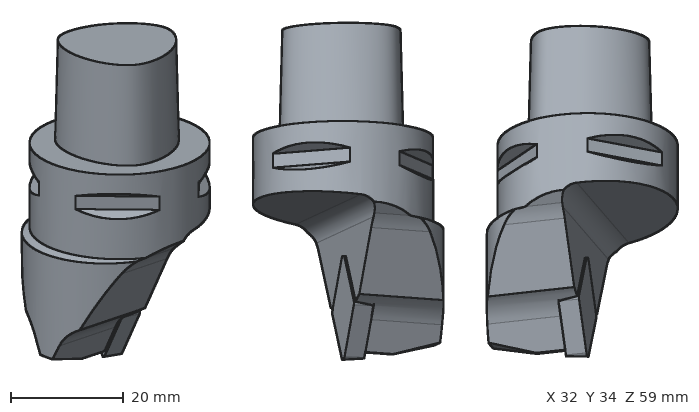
import cadquery as cq
import math


shank_length = 18.9
shank_mean_radius = 11.0
shank_top_mean_radius = 10.52
shank_lobe_height = 0.7
shank_curve_points = 72

flange_radius = 16.0
flange_edge_height = 16.05
slot_count = 4
slot_first_angle = 45
slot_center_z = -6.05
slot_floor_width = 2.5
slot_mouth_width = 4.8
slot_floor_distance = 14.15

head_radius = 15.7
head_offset = 2.3
head_tip_z = -38.45
shoulder_slope = math.radians(13)

seat_face_y = -0.35
relief_edge_z = -12.0
relief_slope = math.radians(5)
relief_corner_radius = 3.5

flank_angle = math.radians(27.5)
flank_chamfer_top_z = -14.35
flank_chamfer_end_z = -flange_edge_height
flank_top_z = -18.4
flank_top_half_width = 12.65
flank_end_z = -29.4
nose_top_z = -33.1
nose_tip_half_width = 0.3

facet_start_y = -9.5
facet_end_z = -36.0

insert_inscribed_radius = 9.525 / 2
insert_thickness = 3.97
insert_half_angle = flank_angle
insert_corner_radius = 0.8
insert_clearance = 7
insert_tip_z = -40.1

overcut = 5.0


def polygon_point(angle, mean_radius):
    """Point of a constant-width three-lobed curve with one lobe toward +Y."""
    phase = 3 * (angle - math.pi / 2)
    reach = mean_radius + shank_lobe_height * math.cos(phase)
    slide = -3 * shank_lobe_height * math.sin(phase)
    x = reach * math.cos(angle) - slide * math.sin(angle)
    y = reach * math.sin(angle) + slide * math.cos(angle)
    return x, y


def polygon_wire(mean_radius, z):
    points = []
    for i in range(shank_curve_points):
        x, y = polygon_point(2 * math.pi * i / shank_curve_points, mean_radius)
        points.append(cq.Vector(x, y, z))
    return cq.Wire.assembleEdges([cq.Edge.makeSpline(points, periodic=True)])


def make_shank():
    base = polygon_wire(shank_mean_radius, 0)
    top = polygon_wire(shank_top_mean_radius, shank_length)
    return cq.Workplane(obj=cq.Solid.makeLoft([base, top]))


def make_gripper_slot(angle):
    """Flared slot cutter whose flat floor faces outward at the given angle."""
    depth = flange_radius + overcut - slot_floor_distance
    flare = (slot_mouth_width - slot_floor_width) / 2 / (flange_radius - slot_floor_distance)
    half_floor = slot_floor_width / 2
    half_mouth = half_floor + flare * depth
    return (
        cq.Workplane("XZ")
        .moveTo(slot_floor_distance, slot_center_z - half_floor)
        .lineTo(slot_floor_distance + depth, slot_center_z - half_mouth)
        .lineTo(slot_floor_distance + depth, slot_center_z + half_mouth)
        .lineTo(slot_floor_distance, slot_center_z + half_floor)
        .close()
        .extrude(flange_radius, both=True)
        .rotate((0, 0, 0), (0, 0, 1), angle)
    )


def make_flange():
    flange = cq.Workplane("XY").circle(flange_radius).extrude(-flange_edge_height)
    for i in range(slot_count):
        flange = flange.cut(make_gripper_slot(slot_first_angle + 360 / slot_count * i))
    return flange


def make_head():
    """Offset cylinder whose top is a conical shoulder around the flange."""
    head = (
        cq.Workplane("XY")
        .workplane(offset=-flange_edge_height)
        .center(0, -head_offset)
        .circle(head_radius)
        .extrude(head_tip_z + flange_edge_height)
    )
    shoulder_reach = head_radius + head_offset + overcut
    shoulder_drop = (shoulder_reach - flange_radius) * math.tan(shoulder_slope)
    above_shoulder = (
        cq.Workplane("XZ")
        .moveTo(flange_radius, -flange_edge_height)
        .lineTo(shoulder_reach, -flange_edge_height - shoulder_drop)
        .lineTo(shoulder_reach, 0)
        .lineTo(flange_radius, 0)
        .close()
        .revolve(360, (0, 0, 0), (0, 1, 0))
    )
    return head.cut(above_shoulder)


def make_back_relief():
    """Cutter below the sloping flange underside and behind the flat seat face."""
    outer_y = flange_radius + overcut
    slope = math.tan(relief_slope)
    outer_z = relief_edge_z + overcut * slope
    inner_z = relief_edge_z - (flange_radius - seat_face_y) * slope
    bottom_z = insert_tip_z - overcut
    return (
        cq.Workplane("YZ")
        .moveTo(seat_face_y, bottom_z)
        .lineTo(seat_face_y, inner_z)
        .lineTo(outer_y, outer_z)
        .lineTo(outer_y, bottom_z)
        .close()
        .extrude(2 * flange_radius, both=True)
        .edges(cq.selectors.NearestToPointSelector((0, seat_face_y, inner_z)))
        .fillet(relief_corner_radius)
    )


def blend_midpoint(start, end, tangent_angle):
    """Middle of an arc that leaves its start at an angle measured from straight up, toward +X."""
    run = end[0] - start[0]
    rise = end[1] - start[1]
    bend = math.atan2(run, rise) - tangent_angle
    sagitta_ratio = math.tan(bend / 2) / 2
    mid_x = (start[0] + end[0]) / 2 + rise * -sagitta_ratio
    mid_z = (start[1] + end[1]) / 2 + run * sagitta_ratio
    return mid_x, mid_z


def make_flank_envelope():
    """Prism along Y with the symmetric tapered outline that trims flange and head."""
    taper = math.tan(flank_angle)
    nose_half_width = nose_tip_half_width + (nose_top_z - head_tip_z) * taper
    flank_half_width = flank_top_half_width - (flank_top_z - flank_end_z) * taper
    chamfer_end = (flange_radius - (flank_chamfer_top_z - flank_chamfer_end_z), flank_chamfer_end_z)
    flank_top = (flank_top_half_width, flank_top_z)
    flank_end = (flank_half_width, flank_end_z)
    nose_top = (nose_half_width, nose_top_z)
    nose_mid = blend_midpoint(nose_top, flank_end, flank_angle)
    flank_mid = blend_midpoint(flank_top, chamfer_end, flank_angle)
    half = (
        cq.Workplane("XZ")
        .moveTo(0, head_tip_z)
        .lineTo(nose_tip_half_width, head_tip_z)
        .lineTo(*nose_top)
        .threePointArc(nose_mid, flank_end)
        .lineTo(*flank_top)
        .threePointArc(flank_mid, chamfer_end)
        .lineTo(flange_radius + overcut, flank_chamfer_top_z + overcut)
        .lineTo(flange_radius + overcut, shank_length + overcut)
        .lineTo(0, shank_length + overcut)
        .close()
        .extrude(2 * flange_radius, both=True)
    )
    return half.union(half.mirror("YZ"))


def make_nose_facet():
    front_y = -head_radius - head_offset
    slope = (facet_end_z - head_tip_z) / (facet_start_y - front_y)
    return (
        cq.Workplane("YZ")
        .moveTo(facet_start_y, head_tip_z)
        .lineTo(front_y - overcut, facet_end_z + overcut * slope)
        .lineTo(front_y - overcut, head_tip_z)
        .close()
        .extrude(flange_radius, both=True)
    )


def make_insert():
    """Rhombic plate with rounded corners and clearance-tapered sides."""
    half_length = insert_inscribed_radius / math.sin(insert_half_angle)
    half_width = insert_inscribed_radius / math.cos(insert_half_angle)
    tip_rounding = insert_corner_radius * (1 / math.sin(insert_half_angle) - 1)
    center_z = insert_tip_z - tip_rounding + half_length
    outline = (
        cq.Sketch()
        .polygon([
            (0, -half_length),
            (half_width, 0),
            (0, half_length),
            (-half_width, 0),
            (0, -half_length),
        ])
        .vertices()
        .fillet(insert_corner_radius)
    )
    return (
        cq.Workplane("XZ")
        .center(0, center_z)
        .placeSketch(outline)
        .extrude(insert_thickness, taper=insert_clearance)
    )


def make_holder(insert):
    body = make_flange().union(make_head())
    body = body.intersect(make_flank_envelope())
    body = body.cut(make_back_relief())
    body = body.cut(make_nose_facet())
    return body.union(make_shank()).cut(insert)


insert = make_insert()
holder = make_holder(insert)

result = cq.Compound.makeCompound([holder.val(), insert.val()])